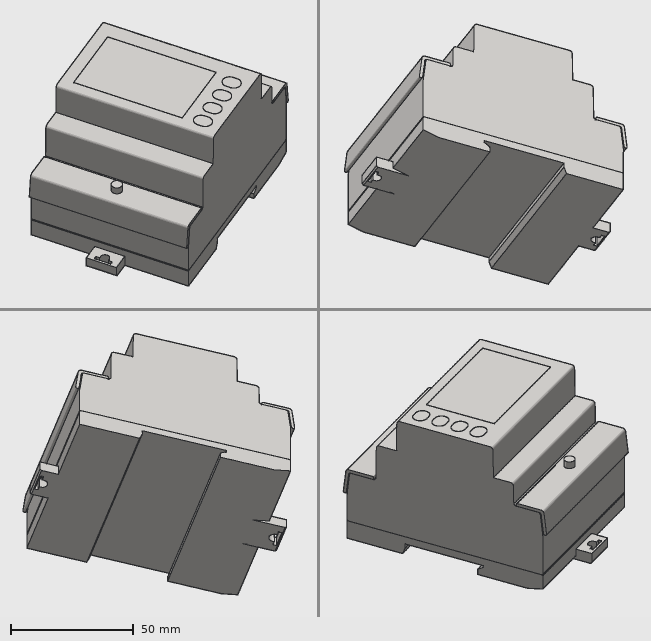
import cadquery as cq
width = 71.6
length = 105.4
height = 63.0

body_y = 0.2
body_half = 45.1

base_top = 8.4
seam_chamfer = 0.3
rail_slot_top = 5.0
hook_y = 17.8
hook_tip_y = 15.3
hook_root_z = 4.1
hook_tip_z = 2.5
rail_stop_y = -18.1
rail_stop_foot_y = -19.3
rail_stop_knee_z = 3.0
heel_rise = 1.7
heel_run = 7.0

lug_width = 13.7
lug_inner_y = 37.9
lug_chamfer = 0.6
keyhole_end_y = 51.6
keyhole_apex_y = 47.4
keyhole_bar_width = 7.4
keyhole_bar_depth = 1.42
keyhole_slot_width = 3.9

draft = 0.015
edge_fillet = 1.5
tower_half = 22.1
shoulder_half = 31.56
shoulder_z = 48.6
shelf_corner_fillet = 1.0
shelf_root_chamfer = 0.7
flank_slope = 0.12

cover_top_front = 33.1
cover_top_back = 39.4
cover_thickness = 1.42
cover_drop = 11.6
cover_reach = 46.9
cover_inner_end = 32.83
cover_end_fillet = 0.6
knee_below_cover_top = 12.3

screw_radius = 2.3
screw_height = 3.2
screw_offset = 38.6

display_x = -5.5
display_y = -1.42
display_width = 49.3
display_length = 31.3
panel_recess = 0.1
display_thickness = 1.1
display_top = height - panel_recess
display_bottom = display_top - display_thickness
button_x = 27.6
button_half_width = 4.0
button_half_length = 3.1
button_pitch = 8.8
first_button_y = -15.0
button_count = 4

sides = [(-1, cover_top_front), (1, cover_top_back)]


def extrude_across(outline):
    """Extrude a closed outline in the YZ plane over the full width."""
    return outline.close().extrude(width / 2, both=True)


def side_steps(side, cover_top):
    """Outline points of one side of the housing, from the seam up to the top."""
    shelf_z = cover_top - cover_thickness
    knee_z = cover_top - knee_below_cover_top
    shelf_half = body_half - flank_slope * (shelf_z - knee_z)
    shoulder_foot = shoulder_half + draft * (shoulder_z - shelf_z)
    tower_foot = tower_half + draft * (height - shoulder_z)
    steps = [
        (body_half, base_top),
        (body_half, knee_z),
        (shelf_half, shelf_z),
        (shoulder_foot + shelf_root_chamfer, shelf_z),
        (shoulder_foot, shelf_z + shelf_root_chamfer),
        (shoulder_half, shoulder_z),
        (tower_foot, shoulder_z),
        (tower_half, height),
    ]
    return [(body_y + side * half, z) for half, z in steps]


def ridge(body, y, z):
    """Select the edge running along X nearest to the given place."""
    return body.edges("|X").edges(cq.selectors.NearestToPointSelector((0, y, z)))


def make_housing():
    front, back = [side_steps(*side) for side in sides]
    body = extrude_across(cq.Workplane("YZ").polyline(front + back[::-1]))
    shelf_corner, shoulder_corner, tower_corner = 2, 5, 7
    for steps in (front, back):
        body = ridge(body, *steps[shelf_corner]).fillet(shelf_corner_fillet)
        body = ridge(body, *steps[shoulder_corner]).fillet(edge_fillet)
        body = ridge(body, *steps[tower_corner]).fillet(edge_fillet)
    display_pocket = display_block(height, display_bottom)
    return body.cut(display_pocket).cut(button_recesses())


def display_block(top, bottom):
    """Rectangular block with the outline of the display window."""
    return (
        cq.Workplane("XY", origin=(display_x, display_y, bottom))
        .rect(display_width, display_length)
        .extrude(top - bottom)
    )


def button_recesses():
    """Shallow round-ended recesses in a column along Y."""
    places = [(button_x, first_button_y + i * button_pitch) for i in range(button_count)]
    return (
        cq.Workplane("XY", origin=(0, 0, height))
        .pushPoints(places)
        .slot2D(2*button_half_width, 2*button_half_length)
        .extrude(-panel_recess)
    )


def make_lug(side):
    """Mounting lug with a T-shaped keyhole open from top to bottom."""
    lug = (
        cq.Workplane("XY")
        .center(0, side * (length / 2 + lug_inner_y) / 2)
        .rect(lug_width, length / 2 - lug_inner_y)
        .extrude(rail_slot_top)
    )
    lug = ridge(lug, side * length / 2, 0).chamfer(lug_chamfer)
    bar_y = keyhole_end_y - keyhole_bar_depth
    slot_half = keyhole_slot_width / 2
    bar_half = keyhole_bar_width / 2
    arc_start_y = keyhole_apex_y + slot_half
    keyhole = (
        cq.Workplane("XY")
        .moveTo(-bar_half, side * keyhole_end_y)
        .lineTo(bar_half, side * keyhole_end_y)
        .lineTo(bar_half, side * bar_y)
        .lineTo(slot_half, side * bar_y)
        .lineTo(slot_half, side * arc_start_y)
        .threePointArc((0, side * keyhole_apex_y), (-slot_half, side * arc_start_y))
        .lineTo(-slot_half, side * bar_y)
        .lineTo(-bar_half, side * bar_y)
        .close()
        .extrude(rail_slot_top)
    )
    return lug.cut(keyhole)


def make_base():
    front = body_y - body_half
    back = body_y + body_half
    outline = [
        (front, 0),
        (rail_stop_foot_y, 0),
        (rail_stop_y, rail_stop_knee_z),
        (rail_stop_y, rail_slot_top),
        (hook_y, rail_slot_top),
        (hook_y, hook_root_z),
        (hook_tip_y, hook_tip_z),
        (hook_tip_y, 0),
        (back - heel_run, 0),
        (back, heel_rise),
        (back, base_top),
        (front, base_top),
    ]
    base = extrude_across(cq.Workplane("YZ").polyline(outline))
    for y in (front, back):
        base = ridge(base, y, base_top).chamfer(seam_chamfer)
    for side, _ in sides:
        base = base.union(make_lug(side))
    return base


def make_cover(side, top):
    """Bent cover: a flat leaf on the shelf and a skirt hanging clear of the flank."""
    bend_half = cover_reach - flank_slope * cover_drop
    inner_bend_half = bend_half + flank_slope * cover_thickness - cover_thickness
    outline = [
        (cover_inner_end, top),
        (bend_half, top),
        (cover_reach, top - cover_drop),
        (cover_reach - cover_thickness, top - cover_drop),
        (inner_bend_half, top - cover_thickness),
        (cover_inner_end, top - cover_thickness),
    ]
    points = [(body_y + side * half, z) for half, z in outline]
    cover = extrude_across(cq.Workplane("YZ").polyline(points))
    inner_end, outer_bend, outer_lip, inner_lip, inner_bend, _ = points
    cover = ridge(cover, *outer_bend).fillet(edge_fillet)
    cover = ridge(cover, *inner_bend).fillet(shelf_corner_fillet)
    for corner in (outer_lip, inner_lip, inner_end):
        cover = ridge(cover, *corner).fillet(cover_end_fillet)
    return cover


def make_screw(side, cover_top):
    return (
        cq.Workplane("XY", origin=(0, body_y + side * screw_offset, cover_top))
        .circle(screw_radius)
        .extrude(screw_height)
    )


housing = make_housing()
base = make_base()
display = display_block(display_top, display_bottom)
covers = [make_cover(side, top) for side, top in sides]
screws = [make_screw(side, top) for side, top in sides]

result = cq.Compound.makeCompound(
    [body.val() for body in [housing, base, display, *covers, *screws]]
)